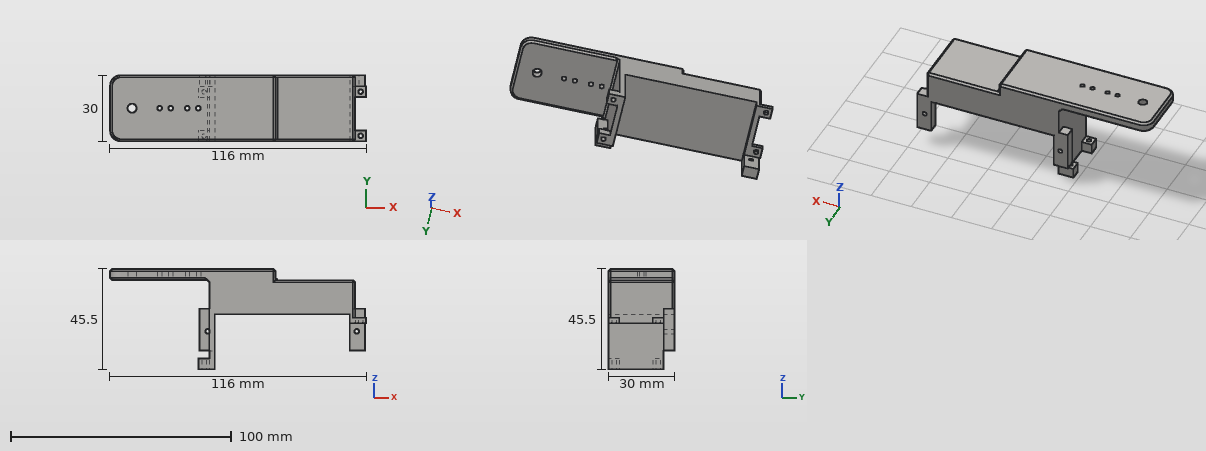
import cadquery as cq

TOTAL_LENGTH = 116.0
WIDTH = 30.0
TOTAL_HEIGHT = 45.5

WALL = 2.5
LUG = 5.0
CHAMFER = 1.0
SMALL_HOLE_D = 2.0

PLATE_LENGTH = 75.0
PLATE_THICKNESS = 5.0
PLATE_CORNER_R = 5.0
PLATE_BOTTOM = TOTAL_HEIGHT - PLATE_THICKNESS
LARGE_HOLE_D = 4.0
LARGE_HOLE_X = 10.0
SMALL_HOLES_X = (22.5, 27.5, 35.0, 40.0)

BODY_START = 45.0
BODY_END = TOTAL_LENGTH - LUG
BODY_BOTTOM = 25.0

FRAME_WIDTH = 25.0
LEG_END = BODY_START + WALL
END_WALL_START = BODY_END - WALL
FOOT_HEIGHT = LUG
END_LUG_BOTTOM = 21.0
END_LUG_TOP = END_LUG_BOTTOM + WALL

TAB_LENGTH = 7.0
TAB_BOTTOM = 8.5
TAB_TOP = 27.5
TAB_HOLE_Z = 17.25
TAB_HOLE_INSET = 3.75

FRONT_Y = -WIDTH / 2
BACK_Y = WIDTH / 2
FRAME_BACK_Y = FRONT_Y + FRAME_WIDTH
LUG_FRONT_YS = (FRONT_Y, FRAME_BACK_Y - LUG)


def block(x_range, y_range, z_range):
    """Box spanning the given (low, high) range on each axis."""
    low, high = zip(x_range, y_range, z_range)
    size = [b - a for a, b in zip(low, high)]
    return cq.Workplane("XY").box(*size, centered=False).translate(low)


def vertical_hole(x, y, diameter, top):
    """Cutter running from the bottom of the part up to the given height."""
    return cq.Workplane("XY").center(x, y).circle(diameter / 2).extrude(top)


def side_prism(points, width):
    """XZ outline extruded to the given width, centred on Y = 0."""
    return cq.Workplane("XZ").polyline(points).close().extrude(width / 2, both=True)


def make_shell():
    """Stepped body with the overhanging plate, chamfered along its outer edges."""
    shell = side_prism(
        [
            (0, TOTAL_HEIGHT),
            (PLATE_LENGTH, TOTAL_HEIGHT),
            (PLATE_LENGTH, PLATE_BOTTOM),
            (BODY_END, PLATE_BOTTOM),
            (BODY_END, END_LUG_TOP),
            (END_WALL_START, END_LUG_TOP),
            (END_WALL_START, BODY_BOTTOM),
            (BODY_START, BODY_BOTTOM),
            (BODY_START, PLATE_BOTTOM),
            (0, PLATE_BOTTOM),
        ],
        WIDTH,
    )
    shell = shell.edges("|Z and <X").fillet(PLATE_CORNER_R)

    plate_top = shell.faces(">Z").edges()
    plate_underside = shell.faces("-Z").faces(">Z").edges("not >X")
    body_top = shell.faces("+Z").faces("<Z").edges("not <X")
    end_uprights = shell.faces("+X").edges("|Z")
    edges = plate_top.vals() + plate_underside.vals() + body_top.vals() + end_uprights.vals()
    return shell.newObject(edges).chamfer(CHAMFER)


def fill_inside_corners():
    """45 degree fillers under the overhang and at the foot of the step."""
    under_plate = side_prism(
        [
            (BODY_START - 2 * CHAMFER, PLATE_BOTTOM + CHAMFER),
            (BODY_START, PLATE_BOTTOM + CHAMFER),
            (BODY_START, PLATE_BOTTOM - CHAMFER),
        ],
        WIDTH,
    )
    at_step = side_prism(
        [
            (PLATE_LENGTH, PLATE_BOTTOM + CHAMFER),
            (PLATE_LENGTH + CHAMFER, PLATE_BOTTOM),
            (PLATE_LENGTH, PLATE_BOTTOM),
        ],
        WIDTH - 2 * CHAMFER,
    )
    return under_plate.union(at_step)


def make_frame():
    """Leg with its two feet, and the end wall with its two lugs."""
    frame_y = (FRONT_Y, FRAME_BACK_Y)
    frame = block((BODY_START, LEG_END), frame_y, (0, BODY_BOTTOM))
    frame = frame.union(block((END_WALL_START, BODY_END), frame_y, (END_LUG_BOTTOM, END_LUG_TOP)))
    for y in LUG_FRONT_YS:
        lug_y = (y, y + LUG)
        frame = frame.union(block((BODY_START - LUG, BODY_START), lug_y, (0, FOOT_HEIGHT)))
        frame = frame.union(block((BODY_END, TOTAL_LENGTH), lug_y, (END_LUG_BOTTOM, END_LUG_TOP)))
    return frame


def make_side_tab(start_x, hole_x):
    """Upright tab with a cross hole, its back flush with the body side."""
    cutter = (
        cq.Workplane("XZ")
        .center(hole_x, TAB_HOLE_Z)
        .circle(SMALL_HOLE_D / 2)
        .extrude(WIDTH / 2, both=True)
    )
    tab = block((start_x, start_x + TAB_LENGTH), (FRAME_BACK_Y, BACK_Y), (TAB_BOTTOM, TAB_TOP))
    return tab.cut(cutter)


def make_part():
    """Join all the pieces and drill the vertical holes."""
    part = make_shell().union(fill_inside_corners()).union(make_frame())
    left_tab_start = LEG_END - TAB_LENGTH
    right_tab_end = END_WALL_START + TAB_LENGTH
    part = part.union(make_side_tab(left_tab_start, left_tab_start + TAB_HOLE_INSET))
    part = part.union(make_side_tab(END_WALL_START, right_tab_end - TAB_HOLE_INSET))
    part = part.cut(vertical_hole(LARGE_HOLE_X, 0, LARGE_HOLE_D, TOTAL_HEIGHT))
    for x in SMALL_HOLES_X:
        part = part.cut(vertical_hole(x, 0, SMALL_HOLE_D, TOTAL_HEIGHT))
    for y in LUG_FRONT_YS:
        hole_y = y + LUG / 2
        part = part.cut(vertical_hole(BODY_START - LUG / 2, hole_y, SMALL_HOLE_D, FOOT_HEIGHT))
        part = part.cut(vertical_hole(BODY_END + LUG / 2, hole_y, SMALL_HOLE_D, END_LUG_TOP))
    return part


result = make_part()